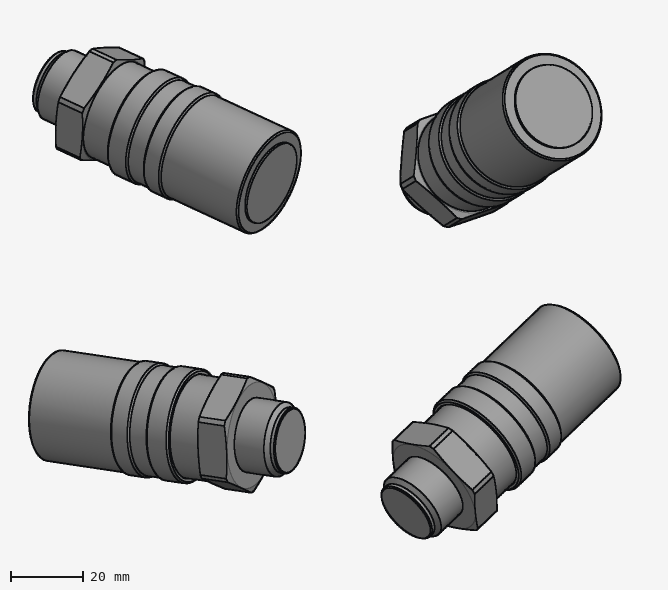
import cadquery as cq
import math


tip_dia = 17.8
nose_dia = 18.5
spigot_dia = 20.9
neck_dia = 29.0
tip_chamfer = (nose_dia - tip_dia) / 2
nose_end = 1.4
spigot_start = 2.75
hex_start = 12.0
hex_length = 9.0
hex_end = hex_start + hex_length

hex_across_flats = 30.0
hex_corner_dia = 33.8
hex_face_dia = 29.8
hex_chamfer_length = 0.45
hex_tilt = 4.4

ring_dia = 32.0
barrel_dia = 31.0
neck_bore_dia = 29.3
ring_chamfer = (ring_dia - barrel_dia) / 2
sleeve_start = 29.9
groove_start = 36.9
groove_end = 42.0
barrel_start = 48.0
barrel_end_chamfer = 0.45
sleeve_end = 73.8

core_dia = 24.0
core_end = 74.5


def turned(profile):
    """Revolve a profile of (x, diameter) corners, closed along the X axis."""
    first_x = profile[0][0]
    last_x = profile[-1][0]
    points = [(first_x, 0)] + [(x, dia / 2) for x, dia in profile] + [(last_x, 0)]
    return cq.Workplane("XY").polyline(points).close().revolve(360, (0, 0, 0), (1, 0, 0))


def make_hexagon():
    """Hexagon with rounded corners, chamfered at both ends."""
    across_corners = hex_across_flats / math.cos(math.radians(30))
    prism = (
        cq.Workplane("YZ", origin=(hex_start, 0, 0))
        .polygon(6, across_corners)
        .extrude(hex_length)
        .rotate((0, 0, 0), (1, 0, 0), 30 - hex_tilt)
    )
    envelope = turned([
        (hex_start, hex_face_dia),
        (hex_start + hex_chamfer_length, hex_corner_dia),
        (hex_end - hex_chamfer_length, hex_corner_dia),
        (hex_end, hex_face_dia),
    ])
    return prism.intersect(envelope)


def make_adapter():
    """Nose and spigot, hexagon, and the neck that runs into the sleeve."""
    nose_and_spigot = turned([
        (0, tip_dia),
        (tip_chamfer, nose_dia),
        (nose_end, nose_dia),
        (spigot_start, spigot_dia),
        (hex_start, spigot_dia),
    ])
    neck = turned([(hex_end, neck_dia), (barrel_start, neck_dia)])
    return nose_and_spigot.union(make_hexagon()).union(neck)


def make_sleeve():
    """Ringed sleeve with a wide bore for the neck and a narrower one for the core."""
    outside = turned([
        (sleeve_start, barrel_dia),
        (sleeve_start + ring_chamfer, ring_dia),
        (groove_start - ring_chamfer, ring_dia),
        (groove_start, barrel_dia),
        (groove_end, barrel_dia),
        (groove_end + ring_chamfer, ring_dia),
        (barrel_start - ring_chamfer, ring_dia),
        (barrel_start, barrel_dia),
        (sleeve_end - barrel_end_chamfer, barrel_dia),
        (sleeve_end, barrel_dia - 2 * barrel_end_chamfer),
    ])
    stepped_bore = turned([
        (sleeve_start, neck_bore_dia),
        (barrel_start, neck_bore_dia),
        (barrel_start, core_dia),
        (sleeve_end, core_dia),
    ])
    return outside.cut(stepped_bore)


def make_core():
    """Plain round core, from the end of the neck to just beyond the barrel."""
    return turned([(barrel_start, core_dia), (core_end, core_dia)])


adapter = make_adapter()
sleeve = make_sleeve()
core = make_core()

result = cq.Compound.makeCompound([adapter.val(), sleeve.val(), core.val()])